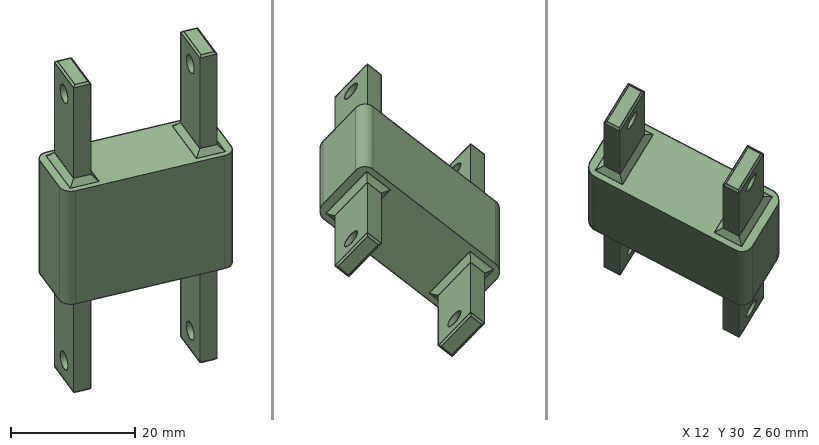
import cadquery as cq

total_height = 60.0

body_width = 12.0
body_length = 30.0
body_height = 22.0
body_corner_radius = 2.0

blade_width = 8.0
blade_thickness = 3.0
blade_spacing = 22.0
tip_chamfer = 0.35

collar_height = 1.0

hole_diameter = 3.2
hole_tip_distance = 4.0

body_top = body_height / 2
blade_tip = total_height / 2
collar_width = blade_width + 2 * collar_height
collar_thickness = blade_thickness + 2 * collar_height


def make_body():
    """Block centred on the origin with rounded vertical edges."""
    return (
        cq.Workplane("XY")
        .box(body_width, body_length, body_height)
        .edges("|Z")
        .fillet(body_corner_radius)
    )


def make_blade():
    """Full-height blade, chamfered around both tips."""
    return (
        cq.Workplane("XY")
        .box(blade_width, blade_thickness, total_height)
        .faces("<Z or >Z")
        .edges()
        .chamfer(tip_chamfer)
    )


def make_top_collar():
    """Frustum from the top of the body up to the blade section."""
    return (
        cq.Workplane("XY", origin=(0, 0, body_top))
        .rect(collar_width, collar_thickness)
        .workplane(offset=collar_height)
        .rect(blade_width, blade_thickness)
        .loft(ruled=True)
    )


def make_holes():
    """Cylinders along Y, one near each tip, long enough to cross both blades."""
    hole_height = blade_tip - hole_tip_distance
    return (
        cq.Workplane("XZ")
        .pushPoints([(0, hole_height), (0, -hole_height)])
        .circle(hole_diameter / 2)
        .extrude(body_length / 2, both=True)
    )


top_collar = make_top_collar()
terminal = make_blade().union(top_collar).union(top_collar.mirror("XY"))

result = make_body()
for side in (-1, 1):
    result = result.union(terminal.translate((0, side * blade_spacing / 2, 0)))
result = result.cut(make_holes())